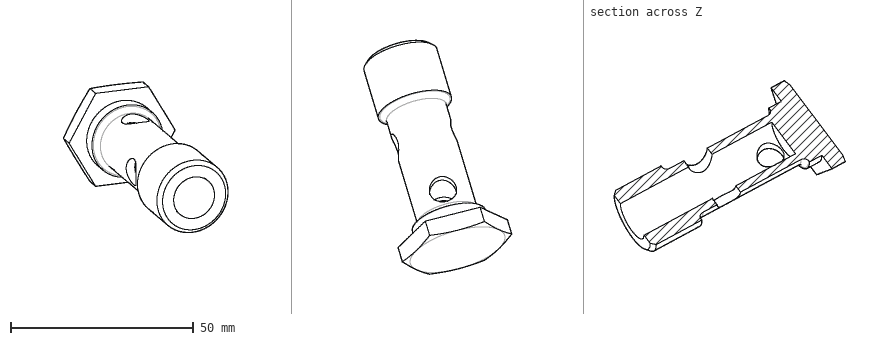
import cadquery as cq
import math

length = 60.0
head_flats = 27.0
head_thickness = 5.0
head_corner_angle = 15.0

collar_diameter = 20.9
collar_end = 9.0
neck_diameter = 17.05
neck_end = 43.9
neck_fillet = 1.5
thread_diameter = 20.95
tip_chamfer = 1.2

bore_diameter = 12.0
bore_start = 10.8
cross_hole_diameter = 7.5
vertical_hole_x = 15.0
sideways_hole_x = 33.95


def cylinder(diameter, start, end):
    """Cylinder on the X axis between two stations."""
    return cq.Workplane("YZ", origin=(start, 0, 0)).circle(diameter / 2).extrude(end - start)


def make_head():
    """Hexagon with flats facing +Z and -Z and corners turned off at the outer face."""
    corner_diameter = head_flats / math.cos(math.pi / 6)
    hexagon = cq.Workplane("YZ").polygon(6, corner_diameter).extrude(head_thickness)
    flat_radius = head_flats / 2
    corner_radius = corner_diameter / 2
    corner_drop = (corner_radius - flat_radius) * math.tan(math.radians(head_corner_angle))
    envelope = (
        cq.Workplane("XY")
        .polyline([
            (0, 0),
            (0, flat_radius),
            (corner_drop, corner_radius),
            (head_thickness, corner_radius),
            (head_thickness, 0),
        ])
        .close()
        .revolve(360, (0, 0, 0), (1, 0, 0))
    )
    return hexagon.intersect(envelope)


def make_body():
    """Collar, filleted neck and threaded end as one turned profile."""
    collar_radius = collar_diameter / 2
    neck_radius = neck_diameter / 2
    thread_radius = thread_diameter / 2
    fillet_top = neck_radius + neck_fillet
    fillet_mid = neck_fillet * (1 - math.sqrt(0.5))
    return (
        cq.Workplane("XY")
        .moveTo(head_thickness, 0)
        .lineTo(head_thickness, collar_radius)
        .lineTo(collar_end, collar_radius)
        .lineTo(collar_end, fillet_top)
        .threePointArc(
            (collar_end + fillet_mid, neck_radius + fillet_mid),
            (collar_end + neck_fillet, neck_radius),
        )
        .lineTo(neck_end - neck_fillet, neck_radius)
        .threePointArc((neck_end - fillet_mid, neck_radius + fillet_mid), (neck_end, fillet_top))
        .lineTo(neck_end, thread_radius)
        .lineTo(length - tip_chamfer, thread_radius)
        .lineTo(length, thread_radius - tip_chamfer)
        .lineTo(length, 0)
        .close()
        .revolve(360, (0, 0, 0), (1, 0, 0))
    )


def cross_hole(plane, x):
    """Cutter crossing the whole neck along the normal of the given plane."""
    return (
        cq.Workplane(plane, origin=(x, 0, 0))
        .circle(cross_hole_diameter / 2)
        .extrude(neck_diameter, both=True)
    )


result = (
    make_head()
    .union(make_body())
    .cut(cylinder(bore_diameter, bore_start, length))
    .cut(cross_hole("XY", vertical_hole_x))
    .cut(cross_hole("XZ", sideways_hole_x))
)